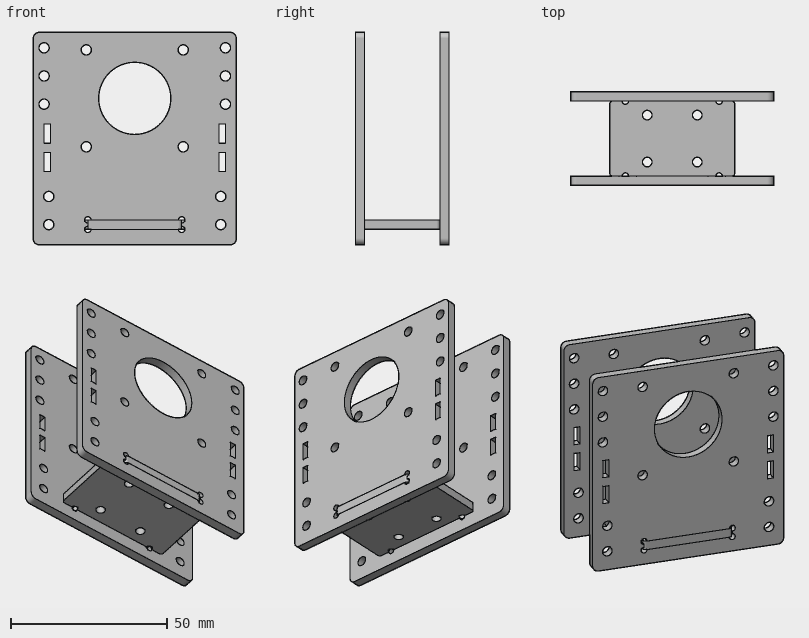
import cadquery as cq

plate_width = 65.0
plate_height = 68.03
thickness = 3.0
overall_depth = 30.0
plate_gap = overall_depth - 2 * thickness
plate_corner_radius = 2.0

motor_size = 42.3
motor_z = plate_height - motor_size / 2
motor_bore_diameter = 23.0
motor_screw_spacing = 31.0
motor_screw_diameter = 3.2

hole_pitch = 9.0
hole_edge_margin = 5.0
upper_hole_count = 3
upper_hole_diameter = 3.2
upper_hole_x = 29.0
upper_hole_top_z = plate_height - hole_edge_margin
lower_hole_diameter = 3.2
lower_hole_x = plate_width / 2 - hole_edge_margin
lower_hole_bottom_z = 6.5
lower_hole_count = 2
tie_slot_width = 2.0
tie_slot_height = 6.0
tie_slot_x = 28.0
tie_slot_bottom_z = 26.5
tie_slot_pitch = 9.1
tie_slot_count = 2

board_width = 40.0
board_bottom_z = 5.0
board_center_z = board_bottom_z + thickness / 2
board_corner_radius = 0.9
tab_width = 30.0
tab_corner_radius = 0.9
relief_diameter = 2.0
board_hole_spacing_x = 16.0
board_hole_spacing_y = 15.0
board_hole_diameter = 3.0


def mirrored_column(x, bottom_z, count, pitch):
    """Points of a vertical column at +x and -x, rising from bottom_z."""
    return [(side * x, bottom_z + i * pitch) for side in (-1, 1) for i in range(count)]


def plate_drill(points, diameter):
    """Cylinders along Y that pass through a plate whose front face is at y = 0."""
    return cq.Workplane("XZ").pushPoints(points).circle(diameter / 2).extrude(-thickness)


def plate_slots(points, width, height):
    """Rectangular cutters along Y through a plate whose front face is at y = 0."""
    return cq.Workplane("XZ").pushPoints(points).rect(width, height).extrude(-thickness)


def make_side_plate(front_y):
    plate = (
        cq.Workplane("XZ")
        .center(0, plate_height / 2)
        .rect(plate_width, plate_height)
        .extrude(-thickness)
        .edges("|Y")
        .fillet(plate_corner_radius)
    )

    screw_offset = motor_screw_spacing / 2
    motor_screws = [
        (sx * screw_offset, motor_z + sz * screw_offset) for sx in (-1, 1) for sz in (-1, 1)
    ]
    plate = plate.cut(plate_drill([(0, motor_z)], motor_bore_diameter))
    plate = plate.cut(plate_drill(motor_screws, motor_screw_diameter))

    upper_hole_bottom_z = upper_hole_top_z - (upper_hole_count - 1) * hole_pitch
    upper_holes = mirrored_column(upper_hole_x, upper_hole_bottom_z, upper_hole_count, hole_pitch)
    lower_holes = mirrored_column(lower_hole_x, lower_hole_bottom_z, lower_hole_count, hole_pitch)
    tie_slots = mirrored_column(tie_slot_x, tie_slot_bottom_z, tie_slot_count, tie_slot_pitch)
    plate = plate.cut(plate_drill(upper_holes, upper_hole_diameter))
    plate = plate.cut(plate_drill(lower_holes, lower_hole_diameter))
    plate = plate.cut(plate_slots(tie_slots, tie_slot_width, tie_slot_height))

    slot_corners = [
        (sx * tab_width / 2, board_center_z + sz * thickness / 2) for sx in (-1, 1) for sz in (-1, 1)
    ]
    plate = plate.cut(plate_slots([(0, board_center_z)], tab_width, thickness))
    plate = plate.cut(plate_drill(slot_corners, relief_diameter))
    return plate.translate((0, front_y, 0))


def make_cross_board():
    base = cq.Workplane("XY", origin=(0, 0, board_bottom_z))
    body = base.rect(board_width, plate_gap).extrude(thickness)
    body = body.edges("|Z").fillet(board_corner_radius)

    tabs = base.rect(tab_width, overall_depth).extrude(thickness)
    tabs = tabs.edges("|Z").fillet(tab_corner_radius)

    mounting_holes = (
        base.rect(board_hole_spacing_x, board_hole_spacing_y, forConstruction=True)
        .vertices()
        .circle(board_hole_diameter / 2)
        .extrude(thickness)
    )
    tab_root_reliefs = (
        base.rect(tab_width, plate_gap, forConstruction=True)
        .vertices()
        .circle(relief_diameter / 2)
        .extrude(thickness)
    )
    return body.union(tabs).cut(mounting_holes).cut(tab_root_reliefs)


plate_front_faces = (-overall_depth / 2, plate_gap / 2)
side_plates = [make_side_plate(front_y) for front_y in plate_front_faces]
cross_board = make_cross_board()

result = cq.Compound.makeCompound([*[plate.val() for plate in side_plates], cross_board.val()])